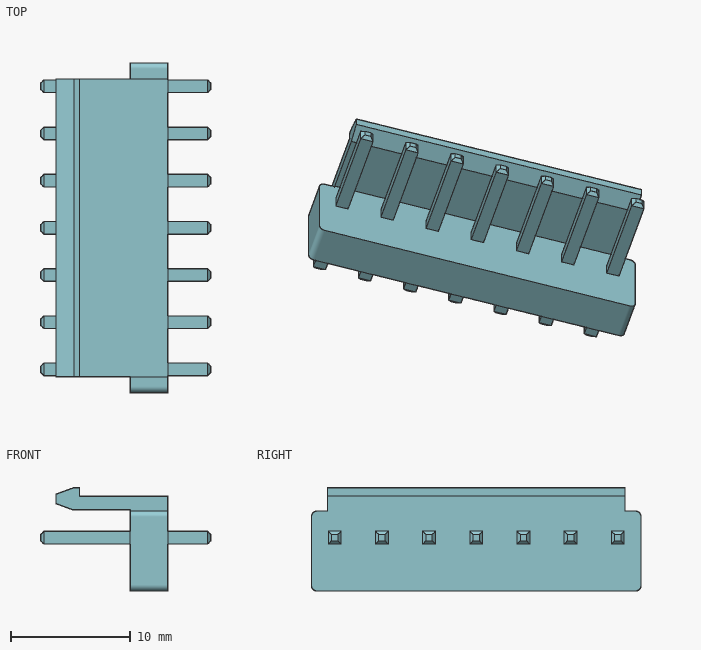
import cadquery as cq

WALL_LENGTH = 27.72
WALL_THICKNESS = 3.2
WALL_HEIGHT = 6.74
WALL_CORNER_RADIUS = 0.5

PIN_COUNT = 7
PIN_PITCH = 3.96
PIN_LENGTH = 14.3
PIN_WIDTH = 1.08
PIN_TIP_CHAMFER = 0.28
PIN_CENTER_Z = 4.5

LATCH_LENGTH = 25.03
LATCH_TOP_Z = 7.98
LATCH_UNDERSIDE_Z = 6.82
HOOK_TOP_Z = 8.7
HOOK_DEPTH = 2.0
HOOK_CREST_WIDTH = 0.47
NOSE_LOWER_Z = 7.35
NOSE_UPPER_Z = 8.15
NOSE_UNDERSIDE_RUN = 1.45

WALL_FRONT_X = 7.5
WALL_BACK_X = WALL_FRONT_X + WALL_THICKNESS
NOSE_X = 1.28
HOOK_STEP_X = NOSE_X + HOOK_DEPTH
HOOK_CREST_X = HOOK_STEP_X - HOOK_CREST_WIDTH


def make_wall():
    """Upright block with its four long corners rounded."""
    wall = cq.Workplane("XY").box(
        WALL_THICKNESS, WALL_LENGTH, WALL_HEIGHT, centered=(False, True, False)
    )
    return wall.edges("|X").fillet(WALL_CORNER_RADIUS).translate((WALL_FRONT_X, 0, 0))


def make_latch():
    """Hooked plate with its root standing on top of the wall."""
    profile = [
        (WALL_BACK_X, WALL_HEIGHT),
        (WALL_BACK_X, LATCH_TOP_Z),
        (HOOK_STEP_X, LATCH_TOP_Z),
        (HOOK_STEP_X, HOOK_TOP_Z),
        (HOOK_CREST_X, HOOK_TOP_Z),
        (NOSE_X, NOSE_UPPER_Z),
        (NOSE_X, NOSE_LOWER_Z),
        (NOSE_X + NOSE_UNDERSIDE_RUN, LATCH_UNDERSIDE_Z),
        (WALL_FRONT_X, LATCH_UNDERSIDE_Z),
        (WALL_FRONT_X, WALL_HEIGHT),
    ]
    return cq.Workplane("XZ").polyline(profile).close().extrude(LATCH_LENGTH / 2, both=True)


def make_pin(center_y):
    """Square pin with all four edges chamfered at both ends."""
    pin = cq.Workplane("XY").box(PIN_LENGTH, PIN_WIDTH, PIN_WIDTH)
    pin = pin.faces("<X or >X").chamfer(PIN_TIP_CHAMFER)
    return pin.translate((PIN_LENGTH / 2, center_y, PIN_CENTER_Z))


result = make_wall().union(make_latch())
for index in range(PIN_COUNT):
    offset_from_middle = index - (PIN_COUNT - 1) / 2
    result = result.union(make_pin(offset_from_middle * PIN_PITCH))